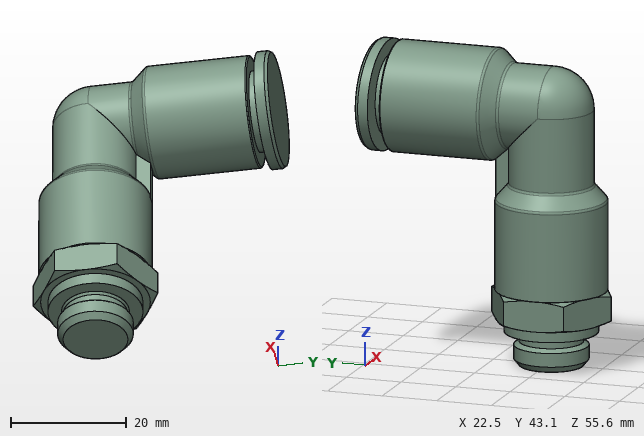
import cadquery as cq
import math

axis_height = 45.7
tube_radius = 7.45
sleeve_radius = 9.85
shoulder_length = 2.7
shoulder_fillet = 0.7
horizontal_tube_length = 7.4
horizontal_arm_length = 28.2
vertical_tube_length = 13.45
mouth_chamfer = 0.2
rib_thickness = 2.2

collar_neck_radius = 7.1
collar_neck_length = 1.6
collar_width = 22.5
collar_height = 19.45
collar_thickness = 2.35
collar_chamfer_length = 0.55
collar_chamfer_depth = 0.35

hex_flats = 19.0
hex_bottom = 8.1
hex_top = 13.55
hex_corner_drop = 0.55

seal_flange_radius = 8.2
seal_flange_bottom = 6.0
neck_radius = 5.6
neck_flare = 0.3
neck_flare_length = 0.5
neck_bottom = 4.2
thread_radius = 6.55
thread_top = 3.6
thread_chamfer_length = 1.15
thread_tip_radius = 5.6

hex_corner_radius = hex_flats / math.sqrt(3)
vertical_arm_length = axis_height - hex_top


def revolve_profile(points):
    """Solid of revolution about Z from (radius, height) points that start and end on the axis."""
    return cq.Workplane("XZ").polyline(points).close().revolve(360, (0, 0, 0), (0, 1, 0))


def make_arm(tube_length, arm_length):
    """Arm rising along Z from the elbow centre: tube, rounded conical shoulder, sleeve."""
    shoulder_end = tube_length + shoulder_length
    arm = revolve_profile([
        (0, 0),
        (tube_radius, 0),
        (tube_radius, tube_length),
        (sleeve_radius, shoulder_end),
        (sleeve_radius, arm_length),
        (0, arm_length),
    ])
    margin = shoulder_length / 2
    shoulder_zone = cq.selectors.BoxSelector(
        (-sleeve_radius, -sleeve_radius, tube_length - margin),
        (sleeve_radius, sleeve_radius, shoulder_end + margin),
    )
    shoulder_edges = arm.edges("%CIRCLE").edges(shoulder_zone)
    return shoulder_edges.fillet(shoulder_fillet)


def make_collar():
    """Oval release collar rising along Z from a round neck."""
    neck = cq.Workplane("XY").circle(collar_neck_radius).extrude(collar_neck_length)
    flange = (
        cq.Workplane("XY", origin=(0, 0, collar_neck_length))
        .ellipse(collar_width / 2, collar_height / 2)
        .extrude(collar_thickness)
        .faces(">Z")
        .chamfer(collar_chamfer_length, collar_chamfer_depth)
    )
    return neck.union(flange)


def make_hexagon():
    """Hexagon with corners on the Y axis, both ends chamfered by a shallow cone."""
    prism = (
        cq.Workplane("XY", origin=(0, 0, hex_bottom))
        .transformed(rotate=(0, 0, 90))
        .polygon(6, 2 * hex_corner_radius)
        .extrude(hex_top - hex_bottom)
    )
    chamfer_envelope = revolve_profile([
        (0, hex_bottom),
        (hex_flats / 2, hex_bottom),
        (hex_corner_radius, hex_bottom + hex_corner_drop),
        (hex_corner_radius, hex_top - hex_corner_drop),
        (hex_flats / 2, hex_top),
        (0, hex_top),
    ])
    return prism.intersect(chamfer_envelope)


def make_threaded_end():
    """Threaded plug, relief neck and sealing flange, up to the hexagon."""
    return revolve_profile([
        (0, 0),
        (thread_tip_radius, 0),
        (thread_radius, thread_chamfer_length),
        (thread_radius, thread_top),
        (neck_radius, neck_bottom),
        (neck_radius, seal_flange_bottom - neck_flare_length),
        (neck_radius + neck_flare, seal_flange_bottom),
        (seal_flange_radius, seal_flange_bottom),
        (seal_flange_radius, hex_bottom),
        (0, hex_bottom),
    ])


def make_rib():
    """Web in the inside corner, flush with the back of the vertical sleeve."""
    rib_height = vertical_tube_length + shoulder_length + shoulder_fillet
    return cq.Workplane("XY").box(
        rib_thickness, sleeve_radius, rib_height, centered=(True, False, False)
    ).translate((0, 0, axis_height - rib_height))


def lay_along_y(shape):
    """Turn a shape from the Z axis to the +Y axis at the height of the horizontal arm."""
    return shape.rotate((0, 0, 0), (1, 0, 0), -90).translate((0, 0, axis_height))


horizontal_arm = make_arm(horizontal_tube_length, horizontal_arm_length).faces(">Z").chamfer(mouth_chamfer)
vertical_arm = (
    make_arm(vertical_tube_length, vertical_arm_length)
    .rotate((0, 0, 0), (1, 0, 0), 180)
    .translate((0, 0, axis_height))
)
elbow = cq.Workplane("XY").sphere(tube_radius).translate((0, 0, axis_height))
collar = make_collar().translate((0, 0, horizontal_arm_length))

result = (
    vertical_arm
    .union(lay_along_y(horizontal_arm))
    .union(elbow)
    .union(make_rib())
    .union(lay_along_y(collar))
    .union(make_hexagon())
    .union(make_threaded_end())
)